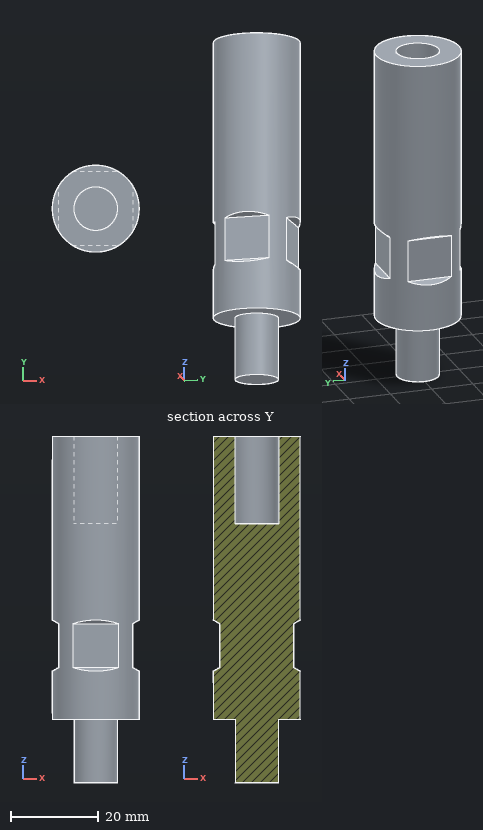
import cadquery as cq
import math

BODY_DIAMETER = 20.0
BODY_LENGTH = 65.0
STUD_DIAMETER = 10.0
STUD_LENGTH = 14.5

BORE_DIAMETER = 10.0
BORE_DEPTH = 20.0

FLAT_COUNT = 4
ACROSS_FLATS = 17.0
FLAT_LENGTH = 10.0
FLAT_BOTTOM = 12.0
END_SLOPE = 30.0

body_radius = BODY_DIAMETER / 2
flat_offset = ACROSS_FLATS / 2
flat_top = FLAT_BOTTOM + FLAT_LENGTH


def make_shank():
    """Round body with the stud below it."""
    body = cq.Workplane("XY").circle(body_radius).extrude(BODY_LENGTH)
    stud = cq.Workplane("XY").circle(STUD_DIAMETER / 2).extrude(-STUD_LENGTH)
    return body.union(stud)


def make_bore():
    """Flat-bottomed bore running down from the top face."""
    return (
        cq.Workplane("XY")
        .workplane(offset=BODY_LENGTH - BORE_DEPTH)
        .circle(BORE_DIAMETER / 2)
        .extrude(BORE_DEPTH)
    )


def make_flat_cutter():
    """Trapezoidal prism that cuts the flat on the +X side, widening outwards."""
    cut_edge = BODY_DIAMETER
    flare = (cut_edge - flat_offset) * math.tan(math.radians(END_SLOPE))
    return (
        cq.Workplane("XZ")
        .moveTo(flat_offset, FLAT_BOTTOM)
        .lineTo(cut_edge, FLAT_BOTTOM - flare)
        .lineTo(cut_edge, flat_top + flare)
        .lineTo(flat_offset, flat_top)
        .close()
        .extrude(body_radius, both=True)
    )


result = make_shank().cut(make_bore())

flat_cutter = make_flat_cutter()
for index in range(FLAT_COUNT):
    angle = index * 360 / FLAT_COUNT
    result = result.cut(flat_cutter.rotate((0, 0, 0), (0, 0, 1), angle))